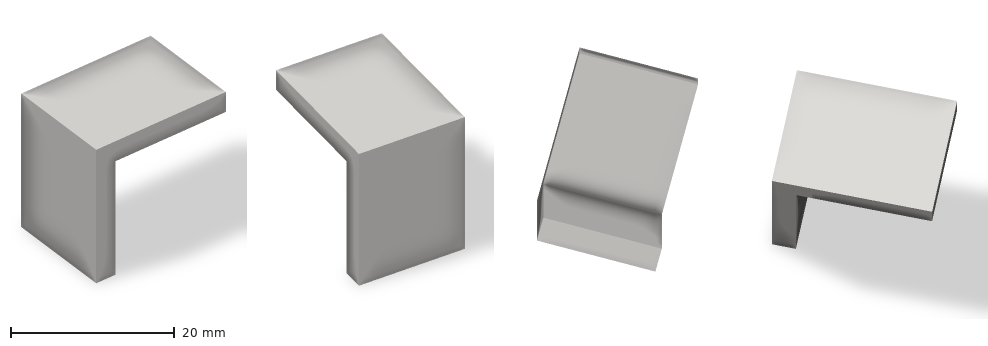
import cadquery as cq

width = 15.0
leg_length = 20.0
thickness = 3.0


def angle_profile():
    """L-shaped outline in the YZ plane, outer corner at the front top."""
    return (
        cq.Workplane("YZ")
        .moveTo(0, 0)
        .lineTo(thickness, 0)
        .lineTo(thickness, leg_length - thickness)
        .lineTo(leg_length, leg_length - thickness)
        .lineTo(leg_length, leg_length)
        .lineTo(0, leg_length)
        .close()
    )


result = angle_profile().extrude(width)